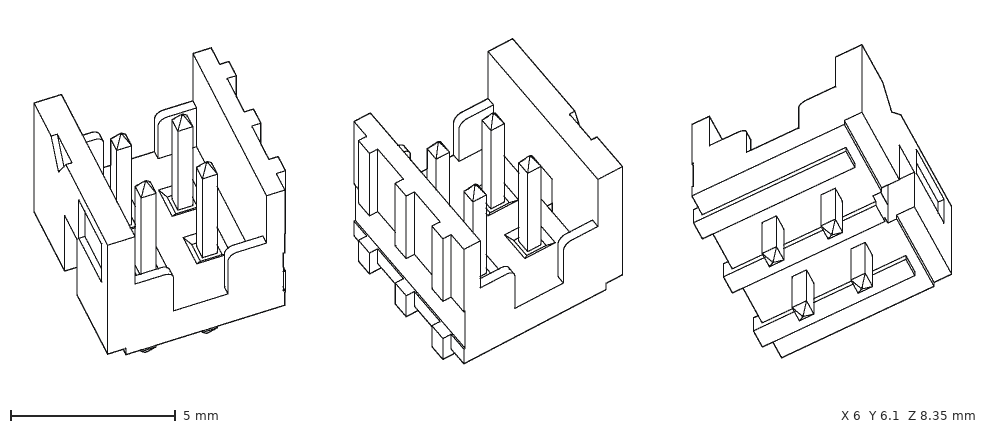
import cadquery as cq
import math


body_width = 6.0
overall_depth = 6.1
overall_height = 8.35
body_height = 5.55
floor_height = 1.4
wall_thickness_back = 0.6
wall_thickness_front = 0.9
end_wall_thickness = 0.3
end_wall_height = 3.27
end_notch_width = 1.78
end_notch_radius = 0.3

rib_thickness = 0.3
rib_width = 0.6
back_groove_bottom = 0.72
back_groove_top = 2.52
back_groove_depth = 0.05

front_step_depth = 0.6
front_step_height = 0.3
key_slot_width = 1.0
key_slot_top = 2.98
mark_depth = 0.2
triangle_width = 1.2
pocket_size = 1.845
pocket_edge_margin = 0.51

pitch = 2.0
pin_width = 0.49
pin_top = 5.4
pin_bottom = body_height - overall_height
pin_tip_length = 0.4
pin_tip_flat = 0.05
funnel_mouth = 1.11
funnel_base = 0.71
funnel_depth = 0.2

front_y = -overall_depth / 2
rib_back_y = overall_depth / 2
back_y = rib_back_y - rib_thickness
inner_front_y = front_y + wall_thickness_front
inner_back_y = back_y - wall_thickness_back
right_x = body_width / 2
pin_points = [(x, y) for x in (-pitch / 2, pitch / 2) for y in (-pitch / 2, pitch / 2)]


def block(x_range, y_range, z_range):
    """Axis-aligned box given by its limits along each axis."""
    (x0, x1), (y0, y1), (z0, z1) = x_range, y_range, z_range
    return cq.Workplane("XY").box(x1 - x0, y1 - y0, z1 - z0, centered=False).translate((x0, y0, z0))


full_width = (-right_x, right_x)


def make_shell():
    """Floor with tall front and back walls, stepped under the front edge."""
    return (
        cq.Workplane("YZ", origin=(-right_x, 0, 0))
        .moveTo(front_y + front_step_depth, 0)
        .lineTo(back_y, 0)
        .lineTo(back_y, body_height)
        .lineTo(inner_back_y, body_height)
        .lineTo(inner_back_y, floor_height)
        .lineTo(inner_front_y, floor_height)
        .lineTo(inner_front_y, body_height)
        .lineTo(front_y, body_height)
        .lineTo(front_y, front_step_height)
        .lineTo(front_y + front_step_depth, front_step_height)
        .close()
        .extrude(body_width)
    )


def make_end_walls():
    """Low walls at both ends, each split by a notch with rounded top corners."""
    walls = None
    half_notch = end_notch_width / 2
    height_range = (floor_height, end_wall_height)
    for x0 in (-right_x, right_x - end_wall_thickness):
        x_range = (x0, x0 + end_wall_thickness)
        front = block(x_range, (inner_front_y, -half_notch), height_range)
        front = front.edges(">Y and >Z").fillet(end_notch_radius)
        back = block(x_range, (half_notch, inner_back_y), height_range)
        back = back.edges("<Y and >Z").fillet(end_notch_radius)
        pair = front.union(back)
        walls = pair if walls is None else walls.union(pair)
    return walls


def make_rib(x):
    """Stand-off rib that runs under the body and up the back."""
    x_range = (x - rib_width / 2, x + rib_width / 2)
    under = block(x_range, (inner_front_y, rib_back_y), (-rib_thickness, 0))
    behind = block(x_range, (back_y, rib_back_y), (-rib_thickness, body_height))
    return under.union(behind)


def make_back_groove():
    """Gap across the back that interrupts the ribs and bites slightly into the wall."""
    return block(full_width, (back_y - back_groove_depth, rib_back_y), (back_groove_bottom, back_groove_top))


def make_key_slot():
    """Slot through the front wall, open at the bottom."""
    half_width = key_slot_width / 2
    return block((-half_width, half_width), (front_y, inner_front_y), (0, key_slot_top))


def make_pin_one_mark():
    """Shallow equilateral triangle pointing down over the first pin column."""
    half_width = triangle_width / 2
    tip_z = body_height - triangle_width * math.sin(math.radians(60))
    centre_x = -pitch / 2
    return (
        cq.Workplane("XZ", origin=(centre_x, front_y, 0))
        .polyline([(-half_width, body_height), (half_width, body_height), (0, tip_z)])
        .close()
        .extrude(-mark_depth)
    )


def make_label_pocket():
    """Shallow square pocket in the upper right of the front wall."""
    x1 = right_x - pocket_edge_margin
    z1 = body_height - pocket_edge_margin
    return block((x1 - pocket_size, x1), (front_y, front_y + mark_depth), (z1 - pocket_size, z1))


def make_funnel(point):
    """Square lead-in recess that narrows downwards around a pin."""
    return (
        cq.Workplane("XY", origin=(*point, floor_height))
        .rect(funnel_mouth, funnel_mouth)
        .workplane(offset=-funnel_depth)
        .rect(funnel_base, funnel_base)
        .loft(combine=True)
    )


def make_pin(point):
    """Square pin with a blunted pyramid at each end."""
    half = pin_width / 2
    half_tip = pin_tip_flat / 2
    flat = (
        cq.Workplane("XZ")
        .moveTo(-half_tip, pin_bottom)
        .lineTo(half_tip, pin_bottom)
        .lineTo(half, pin_bottom + pin_tip_length)
        .lineTo(half, pin_top - pin_tip_length)
        .lineTo(half_tip, pin_top)
        .lineTo(-half_tip, pin_top)
        .lineTo(-half, pin_top - pin_tip_length)
        .lineTo(-half, pin_bottom + pin_tip_length)
        .close()
        .extrude(half, both=True)
    )
    crossed = flat.rotate((0, 0, 0), (0, 0, 1), 90)
    return flat.intersect(crossed).translate((*point, 0))


result = make_shell().union(make_end_walls())
for rib_x in (-pitch, 0, pitch):
    result = result.union(make_rib(rib_x))
for cut in (make_back_groove(), make_key_slot(), make_pin_one_mark(), make_label_pocket()):
    result = result.cut(cut)
for pin_point in pin_points:
    result = result.cut(make_funnel(pin_point)).union(make_pin(pin_point))